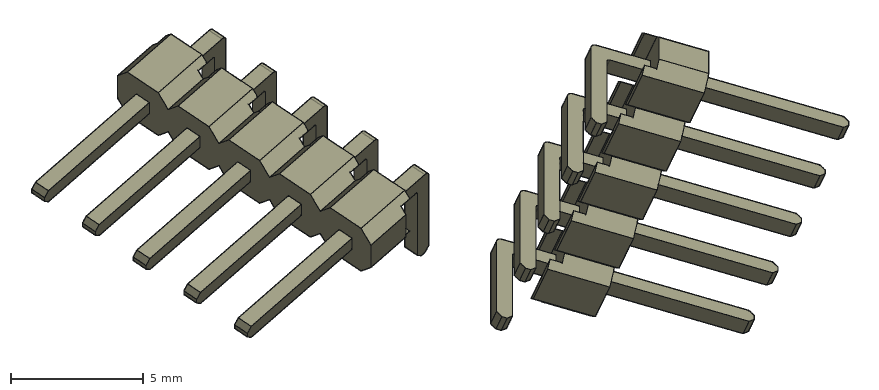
import cadquery as cq


PIN_COUNT = 5
LENGTH = 12.71
PITCH = LENGTH / PIN_COUNT

BODY_DEPTH = 2.5
BODY_HEIGHT = 2.5
CORNER_WIDTH = 0.5
CORNER_HEIGHT = 0.6
GROOVE_DEPTH = 0.5
LIP_THICKNESS = 0.3

PIN_WIDTH = 0.65
PIN_FRONT_REACH = 6.0
PIN_BACK_REACH = 1.9
LEG_DROP = 3.0
TIP_BEVEL = PIN_WIDTH / 3
BEND_OUTER_RADIUS = 0.23
BEND_INNER_RADIUS = 0.11

BODY_BACK_Y = BODY_DEPTH / 2
BODY_FRONT_Y = -BODY_DEPTH / 2


def cell_centers():
    """X positions of the pin cells, spaced evenly about the origin."""
    return [(index - (PIN_COUNT - 1) / 2) * PITCH for index in range(PIN_COUNT)]


def make_cell(center_x):
    """Eight-sided block around one pin."""
    half_width = PITCH / 2
    half_flat = half_width - CORNER_WIDTH
    half_height = BODY_HEIGHT / 2
    half_side = half_height - CORNER_HEIGHT
    outline = [
        (half_width, -half_side),
        (half_width, half_side),
        (half_flat, half_height),
        (-half_flat, half_height),
        (-half_width, half_side),
        (-half_width, -half_side),
        (-half_flat, -half_height),
        (half_flat, -half_height),
    ]
    return (
        cq.Workplane("XZ", origin=(center_x, BODY_BACK_Y, 0))
        .polyline(outline)
        .close()
        .extrude(BODY_DEPTH)
    )


def make_groove():
    """Cutter for the groove running the full length of the back face."""
    groove_height = BODY_HEIGHT - 2 * LIP_THICKNESS
    return cq.Workplane("XY").box(LENGTH, GROOVE_DEPTH, groove_height).translate(
        (0, BODY_BACK_Y - GROOVE_DEPTH / 2, 0)
    )


def make_pin(center_x):
    """Square pin with a rounded right-angle bend and bevelled tips."""
    half_pin = PIN_WIDTH / 2
    front = BODY_FRONT_Y - PIN_FRONT_REACH
    leg_back = BODY_BACK_Y + PIN_BACK_REACH
    leg_front = leg_back - PIN_WIDTH
    leg_bottom = -BODY_HEIGHT / 2 - LEG_DROP
    return (
        cq.Workplane("YZ", origin=(center_x, 0, 0))
        .moveTo(front, half_pin - TIP_BEVEL)
        .lineTo(front + TIP_BEVEL, half_pin)
        .lineTo(leg_back - BEND_OUTER_RADIUS, half_pin)
        .radiusArc((leg_back, half_pin - BEND_OUTER_RADIUS), BEND_OUTER_RADIUS)
        .lineTo(leg_back, leg_bottom + TIP_BEVEL)
        .lineTo(leg_back - TIP_BEVEL, leg_bottom)
        .lineTo(leg_front + TIP_BEVEL, leg_bottom)
        .lineTo(leg_front, leg_bottom + TIP_BEVEL)
        .lineTo(leg_front, -half_pin - BEND_INNER_RADIUS)
        .radiusArc((leg_front - BEND_INNER_RADIUS, -half_pin), -BEND_INNER_RADIUS)
        .lineTo(front + TIP_BEVEL, -half_pin)
        .lineTo(front, -half_pin + TIP_BEVEL)
        .close()
        .extrude(half_pin, both=True)
    )


body = make_cell(cell_centers()[0])
for x in cell_centers()[1:]:
    body = body.union(make_cell(x))
result = body.cut(make_groove())

for x in cell_centers():
    result = result.union(make_pin(x))